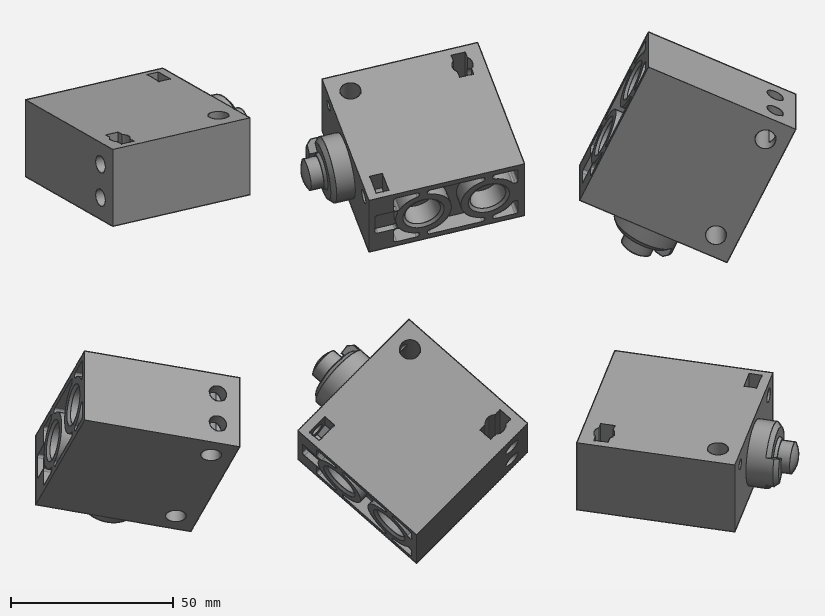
import cadquery as cq
import math

body_side = 50.0
body_height = 25.4
half_side = body_side / 2
half_height = body_height / 2

total_length = 64.0
neck_diameter = 21.0
neck_top = 57.45
neck_chamfer = 1.5
collar_base_radius = 6.0
collar_top_radius = 5.3
collar_top = 58.5
plunger_diameter = 10.0
dome_height = 1.5
lug_rise = 2.55
lug_angle = 60.0

port_positions = (11.5, 32.5)
port_diameter = 11.45
port_depth = 8.0
port_chamfer = 0.9
ring_radius = 8.95
pocket_depth = 5.0
pocket_half_height = 10.75
pocket_front = 2.1
pocket_back = 42.1
tip_radius = 1.0
corner_radius = 1.0
small_radius = 0.9
notch_back = 48.1
notch_half_height = 4.35
notch_depth = 2.0

mount_diameter = 6.4
mount_x = 18.0
mount_front_y = 7.05
mount_back_y = 43.0
slot_length = 9.0
slot_width = 4.5

front_hole_diameter = 5.5
front_hole_z = 5.5
slot_depth = half_height + front_hole_z + front_hole_diameter / 2

window_length = 6.9
window_width = 4.0
window_x = -19.45
window_y = 45.05
window_wall_depth = 7.0
window_floor_slope = 30.0

back_hole_z = 8.0
window_hole_diameter = 4.5
mount_hole_diameter = 3.25


def make_actuator():
    """Neck, collar and domed plunger turned about the Y axis."""
    neck_radius = neck_diameter / 2
    plunger_radius = plunger_diameter / 2
    dome_base = total_length - dome_height
    dome_radius = (plunger_radius**2 + dome_height**2) / (2 * dome_height)
    dome_centre = total_length - dome_radius
    half_angle = math.asin(plunger_radius / dome_radius) / 2
    dome_mid = (dome_radius * math.sin(half_angle), dome_centre + dome_radius * math.cos(half_angle))
    return (
        cq.Workplane("XY")
        .moveTo(0, body_side)
        .lineTo(neck_radius, body_side)
        .lineTo(neck_radius, neck_top - neck_chamfer)
        .lineTo(neck_radius - neck_chamfer, neck_top)
        .lineTo(collar_base_radius, neck_top)
        .lineTo(collar_top_radius, collar_top)
        .lineTo(plunger_radius, collar_top)
        .lineTo(plunger_radius, dome_base)
        .threePointArc(dome_mid, (0, total_length))
        .close()
        .revolve(360, (0, 0, 0), (0, 1, 0))
    )


def make_lug():
    """Chamfered sector on the +X side of the neck, centred on the X axis."""
    lug_base = neck_top - neck_chamfer
    lug_top = neck_top + lug_rise
    neck_radius = neck_diameter / 2
    return (
        cq.Workplane("XY")
        .moveTo(collar_base_radius, lug_base)
        .lineTo(neck_radius, lug_base)
        .lineTo(neck_radius, lug_top - neck_chamfer)
        .lineTo(neck_radius - neck_chamfer, lug_top)
        .lineTo(collar_base_radius, lug_top)
        .close()
        .revolve(lug_angle, (0, 0, 0), (0, 1, 0))
        .rotate((0, 0, 0), (0, 1, 0), -lug_angle / 2)
    )


def left_face_plane():
    """Sketch plane on the left face: local x is +Y, local y is +Z, pointing into the body."""
    return cq.Workplane(cq.Plane((-half_side, 0, 0), xDir=(0, 1, 0), normal=(1, 0, 0)))


tip_height = pocket_half_height - tip_radius
tip_offset = math.sqrt((ring_radius + tip_radius) ** 2 - tip_height**2)
contact_scale = ring_radius / (ring_radius + tip_radius)


def tip_points(port_y, side):
    """Ring contact, outermost point and wall contact of a tip; side is +1 toward +Y, -1 toward -Y."""
    contact = (port_y + side * tip_offset * contact_scale, tip_height * contact_scale)
    outermost = (port_y + side * (tip_offset - tip_radius), tip_height)
    wall = (port_y + side * tip_offset, pocket_half_height)
    return contact, outermost, wall


def make_corner_pocket(port_y, end_y):
    """Upper pocket between a port ring and the end of the pocketed area."""
    pocket_middle_x = -half_side + pocket_depth / 2
    side = math.copysign(1, end_y - port_y)
    contact, outermost, wall = tip_points(port_y, side)
    ring_y = port_y + side * math.sqrt(ring_radius**2 - notch_half_height**2)
    mid_angle = (math.asin(notch_half_height / ring_radius) + math.atan2(tip_height, tip_offset)) / 2
    ring_mid = (port_y + side * ring_radius * math.cos(mid_angle), ring_radius * math.sin(mid_angle))
    pocket = (
        left_face_plane()
        .moveTo(*wall)
        .lineTo(end_y, pocket_half_height)
        .lineTo(end_y, notch_half_height)
        .lineTo(ring_y, notch_half_height)
        .threePointArc(ring_mid, contact)
        .threePointArc(outermost, wall)
        .close()
        .extrude(pocket_depth)
    )
    corners = (
        (end_y, pocket_half_height, corner_radius),
        (end_y, notch_half_height, small_radius),
        (ring_y, notch_half_height, small_radius),
    )
    for y, z, radius in corners:
        corner = cq.selectors.NearestToPointSelector((pocket_middle_x, y, z))
        pocket = pocket.edges("|X").edges(corner).fillet(radius)
    return pocket


def make_middle_pocket():
    """Waisted pocket between the two port rings."""
    front_y, back_y = port_positions
    front_contact, front_outermost, front_wall = tip_points(front_y, 1)
    back_contact, back_outermost, back_wall = tip_points(back_y, -1)

    def mirrored(point):
        return (point[0], -point[1])

    return (
        left_face_plane()
        .moveTo(*front_wall)
        .lineTo(*back_wall)
        .threePointArc(back_outermost, back_contact)
        .threePointArc((back_y - ring_radius, 0), mirrored(back_contact))
        .threePointArc(mirrored(back_outermost), mirrored(back_wall))
        .lineTo(*mirrored(front_wall))
        .threePointArc(mirrored(front_outermost), mirrored(front_contact))
        .threePointArc((front_y + ring_radius, 0), front_contact)
        .threePointArc(front_outermost, front_wall)
        .close()
        .extrude(pocket_depth)
    )


def make_notch():
    """Shallow pocket behind the rear port, ending on its ring."""
    rear_port = port_positions[-1]
    notch = (
        left_face_plane()
        .moveTo((rear_port + notch_back) / 2, 0)
        .rect(notch_back - rear_port, 2 * notch_half_height)
        .extrude(notch_depth)
    )
    ring = left_face_plane().moveTo(rear_port, 0).circle(ring_radius).extrude(notch_depth)
    return notch.cut(ring).edges("|X").fillet(small_radius)


def make_ports():
    """Chamfered blind bores of the two ports."""
    centres = [(y, 0) for y in port_positions]
    bores = left_face_plane().pushPoints(centres).circle(port_diameter / 2).extrude(port_depth)
    for y in port_positions:
        mouth = cq.Solid.makeCone(
            port_diameter / 2 + port_chamfer,
            port_diameter / 2,
            port_chamfer,
            cq.Vector(-half_side, y, 0),
            cq.Vector(1, 0, 0),
        )
        bores = bores.union(cq.Workplane(mouth))
    return bores


def make_window():
    """Rectangular window whose floor is a V along Y."""
    wall_bottom = half_height - window_wall_depth
    v_bottom = wall_bottom - window_length / 2 * math.tan(math.radians(window_floor_slope))
    return (
        cq.Workplane("XZ", origin=(window_x, window_y + window_width / 2, 0))
        .moveTo(-window_length / 2, half_height)
        .lineTo(window_length / 2, half_height)
        .lineTo(window_length / 2, wall_bottom)
        .lineTo(0, v_bottom)
        .lineTo(-window_length / 2, wall_bottom)
        .close()
        .extrude(window_width)
    )


body = cq.Workplane("XY").box(body_side, body_side, body_height).translate((0, half_side, 0))
body = body.union(make_actuator()).union(make_lug())

body = body.cut(make_ports()).cut(make_middle_pocket()).cut(make_notch())
for port_y, end_y in zip(port_positions, (pocket_front, pocket_back)):
    pocket = make_corner_pocket(port_y, end_y)
    body = body.cut(pocket).cut(pocket.mirror("XY"))

mount_points = [(mount_x, mount_front_y), (mount_x, mount_back_y)]
mount_holes = (
    cq.Workplane("XY", origin=(0, 0, -half_height))
    .pushPoints(mount_points)
    .circle(mount_diameter / 2)
    .extrude(body_height)
)
slot = (
    cq.Workplane("XY", origin=(mount_x, mount_front_y, half_height))
    .rect(slot_length, slot_width)
    .extrude(-slot_depth)
)
body = body.cut(mount_holes).cut(slot).cut(make_window())

front_holes = (
    cq.Workplane("XZ")
    .pushPoints([(mount_x, front_hole_z), (mount_x, -front_hole_z)])
    .circle(front_hole_diameter / 2)
    .extrude(-mount_front_y)
)
body = body.cut(front_holes)

for x, diameter in ((window_x, window_hole_diameter), (mount_x, mount_hole_diameter)):
    back_hole = (
        cq.Workplane("XZ", origin=(x, window_y, back_hole_z))
        .circle(diameter / 2)
        .extrude(-(body_side - window_y))
    )
    body = body.cut(back_hole)

result = body